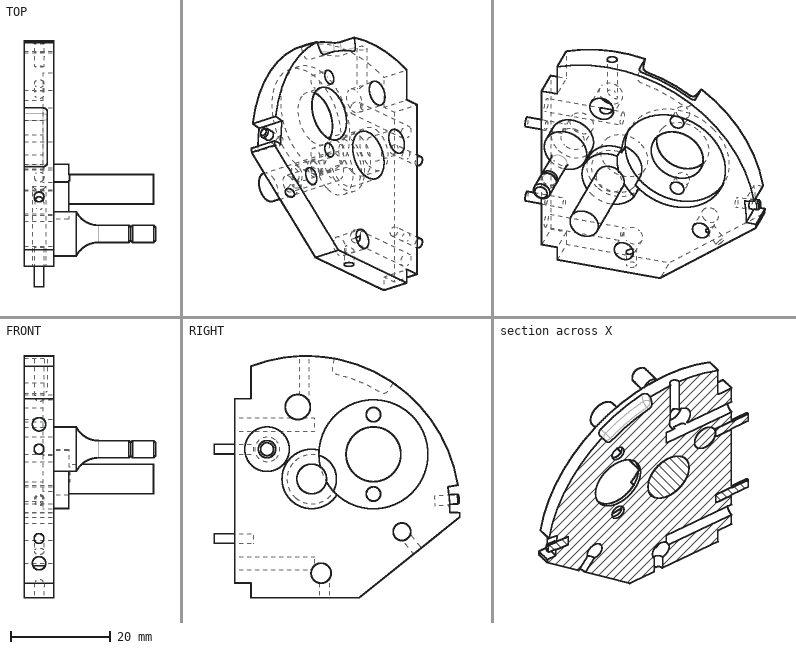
import cadquery as cq
import math


plate_thickness = 6.0
plate_height = 48.82
rim_radius = 31.0
rim_center = (14.45, plate_height - rim_radius)
tab_depth = 3.3
tab_bottom = 3.0
tab_top = 40.2
slope_bottom_y = 25.1
slope_top_z = 16.3
slope_top_y = rim_center[0] + math.sqrt(rim_radius**2 - (slope_top_z - rim_center[1]) ** 2)
mid_x = plate_thickness / 2

motor_center = (28.0, 28.97)
motor_hole_diameter = 11.0
motor_body_diameter = 22.0
motor_recess_floor_x = 3.7
motor_clearance_end_x = 9.15
motor_screw_diameter = 2.85
motor_screw_offset = 8.0
top_hole_center = (12.75, 38.5)
top_hole_diameter = 5.0
bottom_hole_center = (17.45, 5.0)
bottom_hole_diameter = 4.0
slope_hole_center = (33.75, 13.35)
slope_hole_diameter = 3.5

tab_hole_diameter = 2.7
tab_hole_depth = 16.1
tab_hole_heights = (7.0, 35.0)
edge_hole_diameter = 2.0
rim_hole_offset = 1.25
bottom_hole_offset = 0.6

pocket_depth = 4.7
pocket_floor_radius = 28.0
pocket_start_angle = 55.6
pocket_end_angle = 79.6
pocket_fillet = 1.0
notch_floor_radius = 28.95
notch_start_angle = -1.1
notch_end_angle = 9.1
cut_overrun = 2.0

pin_diameter = 2.0
tab_pin_heights = (12.0, 30.0)
tab_pin_protrusion = 4.14
tab_pin_embed = 3.8
notch_pin_angle = (notch_start_angle + notch_end_angle) / 2
notch_pin_tip_radius = 30.9
notch_pin_embed = 3.0
notch_pin_chamfer = 0.3

post_center = (15.55, 24.0)
post_spigot_diameter = 10.0
post_flange_diameter = 12.0
post_flange_thickness = 3.0
post_diameter = 6.0
post_reach = 20.1

stem_center = (6.55, 30.0)
stem_spigot_radius = 2.5
stem_collar_radius = 4.5
stem_collar_length = 4.5
stem_flare_radius = 5.0
stem_radius = 1.75
stem_reach = 20.55
stem_tip_chamfer = 0.45
stem_groove_position = 15.5
stem_groove_depth = 0.375


def rim_point(radius, angle):
    """Point (y, z) at a radius and angle about the rim center."""
    turn = math.radians(angle)
    return (
        rim_center[0] + radius * math.cos(turn),
        rim_center[1] + radius * math.sin(turn),
    )


def cylinder_along_x(center, diameter, start_x, length):
    """Cylinder along +X about a (y, z) center."""
    return cq.Workplane("YZ", origin=(start_x, *center)).circle(diameter / 2).extrude(length)


def cylinder_at_mid(start, direction, diameter, length):
    """Cylinder in the middle of the plate thickness, along a (y, z) direction."""
    along_y, along_z = direction
    plane = cq.Plane((mid_x, *start), xDir=(0, -along_z, along_y), normal=(0, along_y, along_z))
    return cq.Workplane(plane).circle(diameter / 2).extrude(length)


def rim_sector(floor_radius, start_angle, end_angle, depth):
    """Ring sector from a floor radius out past the rim, starting at X = 0."""
    outer_radius = rim_radius + cut_overrun
    middle_angle = (start_angle + end_angle) / 2
    return (
        cq.Workplane("YZ")
        .moveTo(*rim_point(floor_radius, start_angle))
        .threePointArc(rim_point(floor_radius, middle_angle), rim_point(floor_radius, end_angle))
        .lineTo(*rim_point(outer_radius, end_angle))
        .threePointArc(rim_point(outer_radius, middle_angle), rim_point(outer_radius, start_angle))
        .close()
        .extrude(depth)
    )


def make_blank():
    """Plate outline: round rim, stepped tab side and sloped lower corner."""
    rim_start_z = rim_center[1] + math.sqrt(rim_radius**2 - (rim_center[0] - tab_depth) ** 2)
    return (
        cq.Workplane("YZ")
        .moveTo(tab_depth, 0)
        .lineTo(slope_bottom_y, 0)
        .lineTo(slope_top_y, slope_top_z)
        .threePointArc((rim_center[0], plate_height), (tab_depth, rim_start_z))
        .lineTo(tab_depth, tab_top)
        .lineTo(0, tab_top)
        .lineTo(0, tab_bottom)
        .lineTo(tab_depth, tab_bottom)
        .close()
        .extrude(plate_thickness)
    )


def make_through_holes():
    """Cutters for the motor opening, its two screw holes and the three clamp holes."""
    holes = [
        (motor_center, motor_hole_diameter),
        (top_hole_center, top_hole_diameter),
        (bottom_hole_center, bottom_hole_diameter),
        (slope_hole_center, slope_hole_diameter),
    ]
    for side in (-1, 1):
        screw_center = (motor_center[0], motor_center[1] + side * motor_screw_offset)
        holes.append((screw_center, motor_screw_diameter))
    return [cylinder_along_x(center, diameter, 0, plate_thickness) for center, diameter in holes]


def make_motor_clearance():
    """Cutter for the motor body: a recess in the plate that also bites into the post."""
    length = motor_clearance_end_x - motor_recess_floor_x
    return cylinder_along_x(motor_center, motor_body_diameter, motor_recess_floor_x, length)


def make_edge_holes():
    """Cutters for the blind tab holes and for the small holes that reach the clamp holes."""
    cutters = [
        cylinder_at_mid((0, height), (1, 0), tab_hole_diameter, tab_hole_depth)
        for height in tab_hole_heights
    ]
    vertical_holes = ((top_hole_center, rim_hole_offset, 1), (bottom_hole_center, bottom_hole_offset, -1))
    for (center_y, center_z), offset, rise in vertical_holes:
        hole_start = (center_y + offset, center_z)
        cutters.append(cylinder_at_mid(hole_start, (0, rise), edge_hole_diameter, rim_radius))
    slope_normal = (slope_top_z, slope_bottom_y - slope_top_y)
    cutters.append(cylinder_at_mid(slope_hole_center, slope_normal, edge_hole_diameter, rim_radius))
    return cutters


def make_rim_pocket():
    """Cutter for the pocket in the rim, with rounded floor corners and rounded inner end."""
    pocket = rim_sector(pocket_floor_radius, pocket_start_angle, pocket_end_angle, pocket_depth)
    inner_edges = []
    for edge in pocket.edges().vals():
        middle = edge.Center()
        distance = math.hypot(middle.y - rim_center[0], middle.z - rim_center[1])
        if middle.x > 0 and distance < rim_radius:
            inner_edges.append(edge)
    return pocket.newObject(inner_edges).fillet(pocket_fillet)


def make_plate(inserts):
    """Plate with all cuts, and a matching hole for every inserted body."""
    plate = make_blank()
    notch = rim_sector(notch_floor_radius, notch_start_angle, notch_end_angle, plate_thickness)
    openings = [*make_through_holes(), make_motor_clearance(), *make_edge_holes(), make_rim_pocket()]
    for cutter in [*openings, notch, *inserts]:
        plate = plate.cut(cutter)
    return plate


def make_post():
    """Round post on a flange, its spigot in the plate, relieved beside the motor body."""
    post = cylinder_along_x(post_center, post_spigot_diameter, 0, plate_thickness)
    flange = cylinder_along_x(post_center, post_flange_diameter, plate_thickness, post_flange_thickness)
    rod = cylinder_along_x(post_center, post_diameter, plate_thickness, post_reach)
    return post.union(flange).union(rod).cut(make_motor_clearance())


def make_stem():
    """Turned stem: spigot, collar, concave flare, grooved shaft and chamfered tip."""
    collar_end = plate_thickness + stem_collar_length
    tip = plate_thickness + stem_reach
    groove = plate_thickness + stem_groove_position
    flare_center_radius = stem_radius + stem_flare_radius
    flare_rise = flare_center_radius - stem_collar_radius
    flare_end = collar_end + math.sqrt(stem_flare_radius**2 - flare_rise**2)
    middle_angle = (math.asin(flare_rise / stem_flare_radius) + math.pi / 2) / 2
    flare_middle = (
        flare_end - stem_flare_radius * math.cos(middle_angle),
        flare_center_radius - stem_flare_radius * math.sin(middle_angle),
    )
    half_profile = (
        cq.Workplane("XY", origin=(0, *stem_center))
        .moveTo(0, 0)
        .lineTo(0, stem_spigot_radius)
        .lineTo(plate_thickness, stem_spigot_radius)
        .lineTo(plate_thickness, stem_collar_radius)
        .lineTo(collar_end, stem_collar_radius)
        .threePointArc(flare_middle, (flare_end, stem_radius))
        .lineTo(groove - stem_groove_depth, stem_radius)
        .lineTo(groove, stem_radius - stem_groove_depth)
        .lineTo(groove + stem_groove_depth, stem_radius)
        .lineTo(tip - stem_tip_chamfer, stem_radius)
        .lineTo(tip, stem_radius - stem_tip_chamfer)
        .lineTo(tip, 0)
        .close()
    )
    return half_profile.revolve(360, (0, 0, 0), (1, 0, 0))


def make_tab_pin(height):
    """Pin standing out of the tab face."""
    pin_length = tab_pin_embed + tab_pin_protrusion
    return cylinder_at_mid((tab_pin_embed, height), (-1, 0), pin_diameter, pin_length)


def make_notch_pin():
    """Radial pin in the rim notch, with a chamfered tip."""
    inner_radius = notch_floor_radius - notch_pin_embed
    inner_end = rim_point(inner_radius, notch_pin_angle)
    turn = math.radians(notch_pin_angle)
    direction = (math.cos(turn), math.sin(turn))
    pin = cylinder_at_mid(inner_end, direction, pin_diameter, notch_pin_tip_radius - inner_radius)
    return pin.faces(">Y").chamfer(notch_pin_chamfer)


post = make_post()
stem = make_stem()
tab_pins = [make_tab_pin(height) for height in tab_pin_heights]
notch_pin = make_notch_pin()
plate = make_plate([post, stem, *tab_pins, notch_pin])

bodies = [plate, post, stem, *tab_pins, notch_pin]
result = cq.Compound.makeCompound([body.solids().val() for body in bodies])